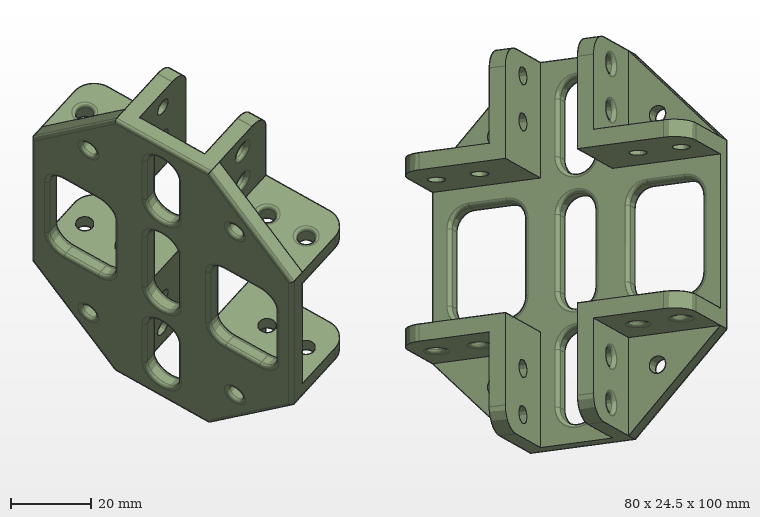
import cadquery as cq

width = 80.0
height = 100.0
plate_thickness = 4.5
edge_round = 1.0

tab_length = 20.0
tab_thickness = 4.5
tab_corner_radius = 6.0
gap_across_x = 20.0
gap_across_z = 40.0

top_edge_half = gap_across_x / 2 + tab_thickness
side_edge_half = gap_across_z / 2 + tab_thickness
side_tab_span = (width - gap_across_x) / 2
end_tab_span = (height - gap_across_z) / 2

hole_diameter = 4.5
plate_hole_x = 22.5
plate_hole_z = 32.5
tab_hole_spacing = 12.0
tab_hole_edge_distance = 6.0
tab_hole_y = plate_thickness + tab_length / 2

slot_width = 10.0
center_slot_length = 30.0
end_slot_length = 25.0
end_slot_z = plate_hole_z
window_outer_x = 35.0
window_inner_x = 14.5
window_height = 30.0
window_corner_radius = 5.0

front = cq.Workplane("XZ")
SIDES = (-1, 1)


def make_plate():
    """Octagonal plate with all front edges rounded; slots and windows are also rounded at the back."""
    window_width = window_outer_x - window_inner_x
    window_x = (window_outer_x + window_inner_x) / 2
    outline = [
        (-top_edge_half, height / 2),
        (top_edge_half, height / 2),
        (width / 2, side_edge_half),
        (width / 2, -side_edge_half),
        (top_edge_half, -height / 2),
        (-top_edge_half, -height / 2),
        (-width / 2, -side_edge_half),
        (-width / 2, side_edge_half),
    ]
    plate = front.polyline(outline).close().extrude(-plate_thickness)

    windows = (
        front.pushPoints([(side * window_x, 0) for side in SIDES])
        .rect(window_width, window_height)
        .extrude(-plate_thickness)
        .edges("|Y")
        .fillet(window_corner_radius)
    )
    center_slot = front.slot2D(center_slot_length, slot_width, 90).extrude(-plate_thickness)
    end_slots = (
        front.pushPoints([(0, side * end_slot_z) for side in SIDES])
        .slot2D(end_slot_length, slot_width, 90)
        .extrude(-plate_thickness)
    )
    holes = (
        front.rect(2 * plate_hole_x, 2 * plate_hole_z, forConstruction=True)
        .vertices()
        .circle(hole_diameter / 2)
        .extrude(-plate_thickness)
    )
    plate = plate.cut(windows).cut(center_slot).cut(end_slots)
    for opening in plate.faces(">Y").val().innerWires():
        plate = plate.newObject(opening.Edges()).fillet(edge_round)
    return plate.cut(holes).faces("<Y").edges().fillet(edge_round)


def make_tab(tab_span):
    """Tab with its plain face on Z = 0 and its holes rounded on the upper face.

    It runs from X = 0 to its free end at X = tab_span, behind the plate.
    """
    tab = (
        cq.Workplane("XY")
        .box(tab_span, tab_length, tab_thickness, centered=False)
        .translate((0, plate_thickness, 0))
        .edges("|Z and >X and >Y")
        .fillet(tab_corner_radius)
    )
    outer_hole_x = tab_span - tab_hole_edge_distance
    inner_hole_x = outer_hole_x - tab_hole_spacing
    hole_points = [(outer_hole_x, tab_hole_y), (inner_hole_x, tab_hole_y)]
    holes = cq.Workplane("XY").pushPoints(hole_points).circle(hole_diameter / 2).extrude(tab_thickness)
    tab = tab.cut(holes)
    hole_rims = [wire.Edges()[0] for wire in tab.faces(">Z").val().innerWires()]
    return tab.newObject(hole_rims).fillet(edge_round)


side_tab = make_tab(side_tab_span).translate((gap_across_x / 2, 0, gap_across_z / 2))
end_tab = (
    make_tab(end_tab_span)
    .rotate((0, 0, 0), (0, 1, 0), -90)
    .mirror("YZ")
    .translate((gap_across_x / 2, 0, gap_across_z / 2))
)

right_tabs = side_tab.union(end_tab)
right_tabs = right_tabs.union(right_tabs.mirror("XY"))

body = make_plate().union(right_tabs).union(right_tabs.mirror("YZ"))
result = body.solids()